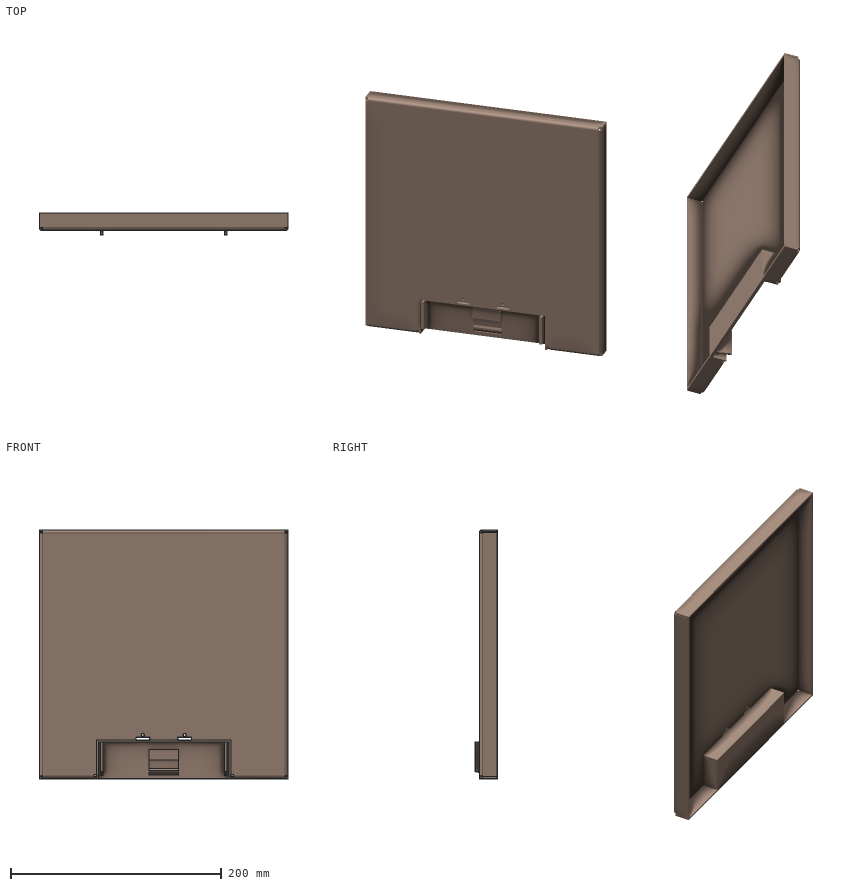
import cadquery as cq

panel_size = 237.0
panel_depth = 17.0
sheet = 2.0
bend_radius = 2.8
corner_relief = 2.8
corner_seam = 0.12

tray_width = 128.0
tray_height = 36.7
tray_wall = 1.7
tray_floor_depth = 13.7
opening_relief_width = 2.4
opening_relief_height = 3.8

slot_offset = 20.0
slot_width = 12.8
slot_height = 2.5
slot_hole_diameter = 2.5
slot_hole_height = 41.7

plate_thickness = 2.5
plate_gap = 2.0
plate_reach = 4.0
plate_front_bottom = 6.9
plate_back_bottom = 3.0

grip_width = 28.0
grip_top = 28.0
block_bottom = 18.0
block_height = 2.0
recess_bottom = 8.0
recess_slope_top = 10.0
recess_depth = 1.07
notch_top = 6.5
notch_bottom = 3.8
notch_depth = 2.0


def box(x_range, y_range, z_range):
    """Axis-aligned box between the given pairs of limits."""
    size = [high - low for low, high in (x_range, y_range, z_range)]
    return cq.Workplane("XY").box(*size, centered=False).translate((x_range[0], y_range[0], z_range[0]))


def side_profile(points, x_start, width):
    """Outline of (Y, Z) points extruded along X from x_start."""
    return cq.Workplane("YZ", origin=(x_start, 0, 0)).polyline(points).close().extrude(width)


def make_panel():
    """Folded sheet: front face with four rounded bends and four flanges, open at the back."""
    half = panel_size / 2
    inner_half = half - sheet
    inner_radius = bend_radius - sheet
    outside = box((-half, half), (0, panel_depth), (0, panel_size)).faces("<Y").edges().fillet(bend_radius)
    inside = box((-inner_half, inner_half), (sheet, panel_depth), (sheet, panel_size - sheet))
    inside = inside.faces("<Y").edges().fillet(inner_radius)
    panel = outside.cut(inside)

    for x in (-half, half - corner_relief):
        for z in (0, panel_size - corner_relief):
            panel = panel.cut(box((x, x + corner_relief), (0, bend_radius), (z, z + corner_relief)))

    for x in (-half, inner_half):
        for z in (sheet, panel_size - sheet - corner_seam):
            panel = panel.cut(box((x, x + sheet), (0, panel_depth), (z, z + corner_seam)))

    tray_half = tray_width / 2
    relief_half = tray_half + opening_relief_width
    panel = panel.cut(box((-tray_half, tray_half), (0, panel_depth), (0, tray_height)))
    panel = panel.cut(box((-relief_half, relief_half), (0, bend_radius), (0, opening_relief_height)))

    for side in (-1, 1):
        x = side * slot_offset
        slot_ends = (x - slot_width / 2, x + slot_width / 2)
        panel = panel.cut(box(slot_ends, (0, sheet), (tray_height, tray_height + slot_height)))
        hole = cq.Workplane("XZ", origin=(x, 0, slot_hole_height)).circle(slot_hole_diameter / 2).extrude(-sheet)
        panel = panel.cut(hole)
    return panel


def make_tray():
    """Shallow tray open to the front and the bottom, with the finger grip on its floor."""
    half = tray_width / 2
    inner_half = half - tray_wall
    tray = box((-half, half), (0, panel_depth), (0, tray_height))
    tray = tray.cut(box((-inner_half, inner_half), (0, tray_floor_depth), (0, tray_height - tray_wall)))

    floor = tray_floor_depth
    grip_start = -grip_width / 2
    block = box((grip_start, -grip_start), (floor - block_height, floor), (block_bottom, grip_top))
    recess = side_profile(
        [
            (floor, recess_bottom),
            (floor + recess_depth, recess_slope_top),
            (floor + recess_depth, block_bottom),
            (floor, block_bottom),
        ],
        grip_start,
        grip_width,
    )
    notch = side_profile(
        [(floor, notch_bottom), (floor + notch_depth, notch_bottom), (floor, notch_top)],
        grip_start,
        grip_width,
    )
    return tray.union(block).cut(recess).cut(notch)


def make_side_plate(side):
    """Plate from the tray floor to in front of the panel, with a sloping bottom edge."""
    outer_x = tray_width / 2 - tray_wall - plate_gap
    x_start = min(side * outer_x, side * (outer_x - plate_thickness))
    top = tray_height - tray_wall
    points = [
        (-plate_reach, plate_front_bottom),
        (tray_floor_depth, plate_back_bottom),
        (tray_floor_depth, top),
        (-plate_reach, top),
    ]
    return side_profile(points, x_start, plate_thickness)


panel = make_panel()
tray = make_tray()
side_plates = [make_side_plate(side) for side in (-1, 1)]

result = cq.Compound.makeCompound([panel.val(), tray.val(), *[plate.val() for plate in side_plates]])